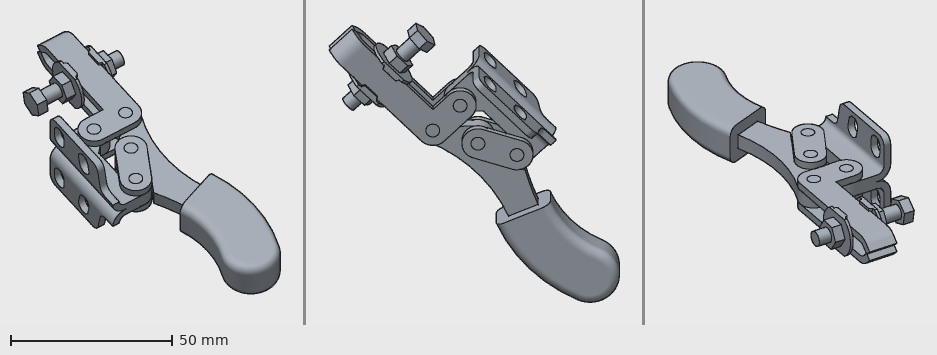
import cadquery as cq
import math


sheet = 2.5
core_half = sheet
outer_half = core_half + sheet
boss_radius = 5.0
pin_radius = 2.1

arm_pivot_x = 40.8
arm_pivot_low = (arm_pivot_x, 13.1)
arm_pivot_high = (arm_pivot_x, 25.0)
link_pivot_high = (53.8, 18.1)
link_pivot_low = (65.0, 12.1)

base_left = arm_pivot_x - boss_radius
base_right = link_pivot_low[0] + boss_radius
web_top = 10.0
web_chamfer = 2.0
bend_radius = 2 * sheet
flange_half = 15.0
flange_corner = 3.0
flange_slant = 12.0
flange_root_x = 63.5
flange_fillet = 3.0
slot_width = 5.1
slot_length = 7.5
slot_z = 9.5
slot_spacing = 13.3

arm_bottom = arm_pivot_high[1] - boss_radius
arm_top = arm_pivot_high[1] + boss_radius
tip_half = 1.5
tip_bend_radius = 5.5

grip_centre = (95.1, -13.6)
grip_mid_radius = 40.8
grip_half_width = 9.2
grip_half_angle = 21.2
grip_thickness = 13.3
grip_round = 3.0
lever_half_width = 5.0
heel_x = 71.2
heel_clearance = 0.1

spindle_x = 17.6
spindle_radius = 2.5
spindle_top = 38.9
head_bottom = 5.4
head_height = 3.6
head_radius = 4.5
head_turn = 40.0
nut_radius = 4.8
nut_turn = 3.0
nut_height = 3.5
washer_radius = 8.0
washer_half_width = 6.7
washer_thickness = 1.0
lip_depth = 1.1
lip_half_root = 3.3
lip_half_tip = 2.7


def plate(outline, z_from, z_to):
    """Extrude an XY outline between two Z levels."""
    return outline.extrude(z_to - z_from).translate((0, 0, z_from))


def disc(centre, radius, half_height):
    """Cylinder along Z, centred on the mid-plane."""
    return cq.Workplane("XY").center(*centre).circle(radius).extrude(half_height, both=True)


def pins(centres):
    """Pivot pins that end flush with the outer plates."""
    solid = disc(centres[0], pin_radius, outer_half)
    for centre in centres[1:]:
        solid = solid.union(disc(centre, pin_radius, outer_half))
    return solid


def polar(centre, radius, degrees):
    """Point at an angle measured from +X."""
    angle = math.radians(degrees)
    return (centre[0] + radius * math.cos(angle), centre[1] + radius * math.sin(angle))


def grip_point(radius, degrees):
    """Point about the grip centre; the angle grows from +Y towards +X."""
    return polar(grip_centre, radius, 90 - degrees)



def make_web():
    """Upright plate with a rounded boss at each end."""
    low_x = link_pivot_low[0]
    outline = (
        cq.Workplane("XY")
        .moveTo(base_left, bend_radius)
        .lineTo(base_left, arm_pivot_low[1])
        .threePointArc(polar(arm_pivot_low, boss_radius, 90), polar(arm_pivot_low, boss_radius, 0))
        .lineTo(arm_pivot_x + boss_radius, web_top)
        .lineTo(low_x - boss_radius, web_top)
        .lineTo(low_x - boss_radius, link_pivot_low[1])
        .threePointArc(polar(link_pivot_low, boss_radius, 90), (base_right, link_pivot_low[1]))
        .lineTo(base_right, bend_radius)
        .close()
    )
    web = plate(outline, -core_half, core_half)
    for corner_x in (arm_pivot_x + boss_radius, low_x - boss_radius):
        corner = cq.selectors.NearestToPointSelector((corner_x, web_top, 0))
        web = web.edges("|Z").edges(corner).chamfer(web_chamfer)
    return web


def make_flange():
    """Bent foot on the +Z side, from the mid-plane out to its long edge."""
    length = base_right - base_left
    bend_centre = (bend_radius, bend_radius)
    foot = (
        cq.Workplane("YZ", origin=(base_left, 0, 0))
        .moveTo(bend_radius, 0)
        .threePointArc(polar(bend_centre, bend_radius, 225), (0, bend_radius))
        .lineTo(0, flange_half)
        .lineTo(sheet, flange_half)
        .lineTo(sheet, bend_radius)
        .threePointArc(polar(bend_centre, bend_radius - sheet, 225), (bend_radius, sheet))
        .close()
        .extrude(length)
    )
    edge_x = flange_root_x - (flange_half - outer_half) * math.tan(math.radians(flange_slant))
    blank = (
        cq.Workplane("XZ", origin=(0, web_top, 0))
        .polyline([
            (base_left, 0), (base_left, flange_half), (edge_x, flange_half),
            (flange_root_x, outer_half), (base_right, outer_half), (base_right, 0),
        ])
        .close()
        .extrude(web_top)
    )
    blank = blank.edges("|Y").edges(">Z").fillet(flange_corner)
    root = cq.selectors.NearestToPointSelector((flange_root_x, web_top / 2, outer_half))
    blank = blank.edges("|Y").edges(root).fillet(flange_fillet)
    foot = foot.intersect(blank)
    for slot_x, lean in [(arm_pivot_x, 0), (arm_pivot_x + slot_spacing, flange_slant)]:
        slot = (
            cq.Workplane("XZ", origin=(slot_x, web_top, slot_z))
            .slot2D(slot_length, slot_width, 90 + lean)
            .extrude(web_top)
        )
        foot = foot.cut(slot)
    return foot


def make_base():
    """Web and both flanges, carrying the lower pins of the arm and the links."""
    flange = make_flange()
    body = make_web().union(flange).union(flange.mirror("XY"))
    return body.union(pins([arm_pivot_low, link_pivot_low]))



def make_arm_strip():
    """The +Z plate edge-on: straight, then bent 45 degrees to the mid-plane at the tip."""
    slope = math.sqrt(0.5)
    bend_z = outer_half - tip_bend_radius
    bend_x = tip_bend_radius * slope + (bend_z + tip_bend_radius * slope - tip_half)
    bend_centre = (bend_x, bend_z)
    inner_radius = tip_bend_radius - sheet
    far_x = arm_pivot_x + 2 * boss_radius
    return (
        cq.Workplane("XZ", origin=(0, arm_top, 0))
        .moveTo(0, tip_half)
        .lineTo(*polar(bend_centre, tip_bend_radius, 135))
        .threePointArc(polar(bend_centre, tip_bend_radius, 112.5), (bend_x, outer_half))
        .lineTo(far_x, outer_half)
        .lineTo(far_x, core_half)
        .lineTo(bend_x, core_half)
        .threePointArc(polar(bend_centre, inner_radius, 112.5), polar(bend_centre, inner_radius, 135))
        .lineTo(sheet * slope, tip_half - sheet * slope)
        .close()
        .extrude(arm_top)
    )


def make_arm():
    """Two L-shaped plates that meet at the tip."""
    outline = (
        cq.Workplane("XY")
        .moveTo(0, arm_bottom)
        .lineTo(0, arm_top)
        .lineTo(arm_pivot_x, arm_top)
        .threePointArc(polar(arm_pivot_high, boss_radius, 45), polar(arm_pivot_high, boss_radius, 0))
        .lineTo(*polar(arm_pivot_low, boss_radius, 0))
        .threePointArc(polar(arm_pivot_low, boss_radius, 270), polar(arm_pivot_low, boss_radius, 180))
        .lineTo(base_left, arm_bottom)
        .close()
        .extrude(outer_half, both=True)
    )
    half = make_arm_strip().intersect(outline)
    arm = half.union(half.mirror("XY"))
    return arm.cut(pins([arm_pivot_low, arm_pivot_high]))



def make_lever_body():
    """Lever plate without its pins; its curved tail fills the socket in the grip."""
    outer = grip_mid_radius + lever_half_width
    inner = grip_mid_radius - lever_half_width
    entry_top = grip_point(outer, -grip_half_angle)
    entry_low = grip_point(inner, -grip_half_angle)

    run = polar((0, 0), 1, 90 + grip_half_angle)
    gap = (entry_top[0] - arm_pivot_high[0], entry_top[1] - arm_pivot_high[1])
    along = gap[0] * run[0] + gap[1] * run[1]
    hollow_radius = (gap[0] ** 2 + gap[1] ** 2 - boss_radius ** 2) / (2 * (boss_radius - along))
    hollow_centre = (entry_top[0] + hollow_radius * run[0], entry_top[1] + hollow_radius * run[1])
    toward_hollow = math.degrees(math.atan2(
        hollow_centre[1] - arm_pivot_high[1], hollow_centre[0] - arm_pivot_high[0]
    ))

    link_angle = math.degrees(math.atan2(
        link_pivot_low[1] - link_pivot_high[1], link_pivot_low[0] - link_pivot_high[0]
    ))
    edge_start = polar(link_pivot_high, boss_radius + heel_clearance, link_angle + 90)
    heel = (heel_x, edge_start[1] + (heel_x - edge_start[0]) * math.tan(math.radians(link_angle)))

    outline = (
        cq.Workplane("XY")
        .moveTo(*arm_pivot_high)
        .lineTo(*polar(arm_pivot_high, boss_radius, toward_hollow))
        .threePointArc(polar(hollow_centre, hollow_radius, 270), entry_top)
        .threePointArc(grip_point(outer, 0), grip_point(outer, grip_half_angle))
        .lineTo(*grip_point(inner, grip_half_angle))
        .threePointArc(grip_point(inner, 0), entry_low)
        .tangentArcPoint(heel, relative=False)
        .lineTo(*edge_start)
        .lineTo(*link_pivot_high)
        .lineTo(*polar(link_pivot_high, boss_radius, 225))
        .close()
    )
    lever = plate(outline, -core_half, core_half)
    for pivot in (arm_pivot_high, link_pivot_high):
        lever = lever.union(disc(pivot, boss_radius, core_half))
    return lever


def make_lever():
    """Lever carrying the upper pins of the arm and the links."""
    return make_lever_body().union(pins([arm_pivot_high, link_pivot_high]))


def make_grip():
    """Curved handle with a round end and a socket for the lever."""
    outer = grip_mid_radius + grip_half_width
    inner = grip_mid_radius - grip_half_width
    end_centre = grip_point(grip_mid_radius, grip_half_angle)
    end_tip = polar(end_centre, grip_half_width, -grip_half_angle)
    outline = (
        cq.Workplane("XY")
        .moveTo(*grip_point(inner, -grip_half_angle))
        .lineTo(*grip_point(outer, -grip_half_angle))
        .threePointArc(grip_point(outer, 0), grip_point(outer, grip_half_angle))
        .threePointArc(end_tip, grip_point(inner, grip_half_angle))
        .threePointArc(grip_point(inner, 0), grip_point(inner, -grip_half_angle))
        .close()
    )
    half = grip_thickness / 2
    grip = plate(outline, -half, half)
    grip = grip.faces("|Z").edges("not %LINE").fillet(grip_round)
    return grip.cut(make_lever_body())



def make_link(z_from):
    """Straight link with round ends, starting at the given Z."""
    middle = [(a + b) / 2 for a, b in zip(link_pivot_high, link_pivot_low)]
    run = (link_pivot_low[0] - link_pivot_high[0], link_pivot_low[1] - link_pivot_high[1])
    length = math.hypot(*run) + 2 * boss_radius
    angle = math.degrees(math.atan2(run[1], run[0]))
    outline = cq.Workplane("XY").center(*middle).slot2D(length, 2 * boss_radius, angle)
    return plate(outline, z_from, z_from + sheet).cut(pins([link_pivot_high, link_pivot_low]))



def spindle_plane(y):
    """Plane across the spindle whose extrusions run towards +Y; local y is -Z."""
    return cq.Workplane(cq.Plane((spindle_x, y, 0), (1, 0, 0), (0, 1, 0)))


def hexagon(y, radius, turn, height):
    """Hexagonal prism around the spindle; turn is measured from +X towards +Z."""
    corners = [polar((0, 0), radius, 60 * i - turn) for i in range(6)]
    return spindle_plane(y).polyline(corners).close().extrude(height)


def make_upper_washer():
    """Round washer with two flats, each carrying a lip bent down beside the arm."""
    washer = spindle_plane(arm_top).circle(washer_radius).extrude(washer_thickness)
    flats = spindle_plane(arm_top).rect(2 * washer_radius, 2 * washer_half_width).extrude(washer_thickness)
    washer = washer.intersect(flats)
    lip_outline = [
        (spindle_x - lip_half_root, arm_top), (spindle_x + lip_half_root, arm_top),
        (spindle_x + lip_half_tip, arm_top - lip_depth), (spindle_x - lip_half_tip, arm_top - lip_depth),
    ]
    lip = cq.Workplane("XY").polyline(lip_outline).close()
    lip = plate(lip, washer_half_width - washer_thickness, washer_half_width)
    return washer.union(lip).union(lip.mirror("XY"))


def make_spindle():
    """Hex bolt with a nut and a washer clamped on each side of the arm."""
    shaft = spindle_plane(head_bottom).circle(spindle_radius).extrude(spindle_top - head_bottom)
    head = hexagon(head_bottom, head_radius, head_turn, head_height)
    upper_nut = hexagon(arm_top + washer_thickness, nut_radius, nut_turn, nut_height)
    lower_nut = hexagon(arm_bottom - washer_thickness - nut_height, nut_radius, nut_turn, nut_height)
    upper_washer = make_upper_washer()
    lower_washer = upper_washer.mirror("XZ", (0, arm_pivot_high[1], 0))
    return (
        shaft.union(head).union(upper_nut).union(lower_nut).union(upper_washer).union(lower_washer)
    )


base = make_base()
arm = make_arm()
lever = make_lever()
grip = make_grip()
links = [make_link(z_from) for z_from in (core_half, -outer_half)]
spindle = make_spindle()

result = cq.Compound.makeCompound(
    [base.val(), arm.val(), lever.val(), grip.val(), *[link.val() for link in links], spindle.val()]
)